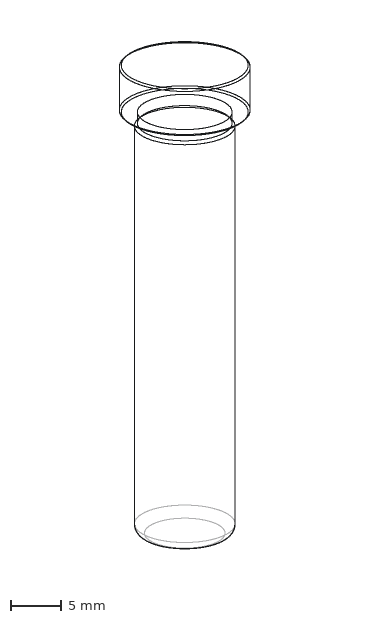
import cadquery as cq

total_length = 50.0
head_diameter = 13.0
head_height = 5.0
head_chamfer = 0.2

shank_diameter = 10.0
tip_radius = 1.0

groove_diameter = 9.4
groove_width = 1.2
groove_chamfer = 0.3

head_bottom = total_length - head_height
groove_bottom = head_bottom - groove_width
head_radius = head_diameter / 2
shank_radius = shank_diameter / 2
groove_radius = groove_diameter / 2


def disc(radius, bottom, top):
    """Solid cylinder on the Z axis between two heights."""
    return cq.Workplane("XY").workplane(offset=bottom).circle(radius).extrude(top - bottom)


shank = disc(shank_radius, 0, groove_bottom)
shank = shank.faces("<Z").edges().fillet(tip_radius)
shank = shank.faces(">Z").edges().chamfer(groove_chamfer)

neck = disc(groove_radius, groove_bottom, head_bottom)

head = disc(head_radius, head_bottom, total_length)
head = head.faces("<Z or >Z").edges().chamfer(head_chamfer)

result = shank.union(neck).union(head)